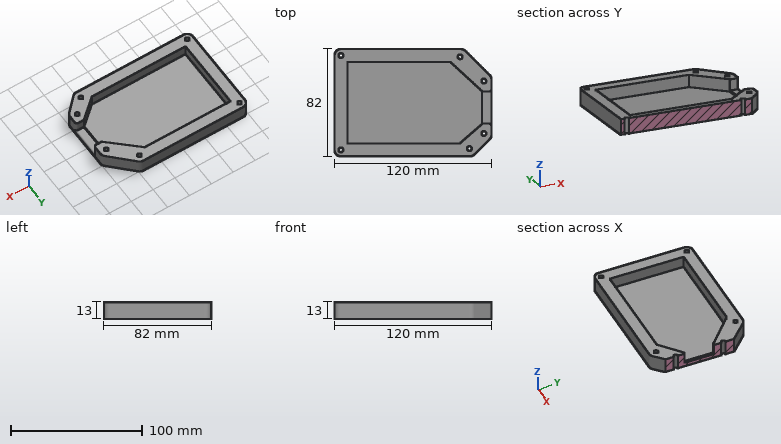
import cadquery as cq

length = 120.0
width = 82.0
height = 13.0
corner_radius = 5.0
upper_bevel = 21.5
lower_bevel = 14.6

wall = 10.0
floor = 3.0
pocket_end_x = 112.5
upper_slope_x = 88.5
lower_slope_x = 95.7
end_wall_low_y = 24.6
end_wall_high_y = 49.9

slot_low_y = 25.0
slot_high_y = 49.5
slot_step = 1.0
sill_edge_round = 1.0
slot_side_round = 2.0
select_margin = 0.1

hole_diameter = 3.4
corner_inset = 5.0
bevel_inset = 6.0
upper_bevel_hole_x = 95.9
lower_bevel_hole_x = 103.0
upper_end_hole_y = 57.5
lower_end_hole_y = 17.5
hole_centers = [
    (corner_inset, corner_inset),
    (corner_inset, width - corner_inset),
    (upper_bevel_hole_x, width - bevel_inset),
    (length - bevel_inset, upper_end_hole_y),
    (length - bevel_inset, lower_end_hole_y),
    (lower_bevel_hole_x, bevel_inset),
]


def body():
    outline = [
        (0, 0),
        (length - lower_bevel, 0),
        (length, lower_bevel),
        (length, width - upper_bevel),
        (length - upper_bevel, width),
        (0, width),
    ]
    plate = cq.Workplane("XY").polyline(outline).close().extrude(height)
    return plate.edges("|Z").fillet(corner_radius)


def pocket():
    outline = [
        (wall, wall),
        (lower_slope_x, wall),
        (pocket_end_x, end_wall_low_y),
        (pocket_end_x, end_wall_high_y),
        (upper_slope_x, width - wall),
        (wall, width - wall),
    ]
    floor_plane = cq.Workplane("XY").workplane(offset=floor)
    return floor_plane.polyline(outline).close().extrude(height - floor)


def slot():
    sill = floor + slot_step
    depth = length - pocket_end_x
    opening = slot_high_y - slot_low_y
    block = cq.Workplane("XY").box(depth, opening, height - sill, centered=False)
    return block.translate((pocket_end_x, slot_low_y, sill))


def screw_holes():
    return cq.Workplane("XY").pushPoints(hole_centers).circle(hole_diameter / 2).extrude(height)


def round_slot_mouth(part):
    """Round the two side edges and then the sill edge where the slot leaves the +X face."""
    mouth = cq.selectors.BoxSelector(
        (length - select_margin, slot_low_y - select_margin, floor),
        (length + select_margin, slot_high_y + select_margin, height - select_margin),
    )
    sides_rounded = part.edges(mouth).edges("|Z").fillet(slot_side_round)
    return sides_rounded.edges(mouth).edges("|Y").fillet(sill_edge_round)


hollowed = body().cut(pocket()).cut(slot())
result = round_slot_mouth(hollowed).cut(screw_holes())